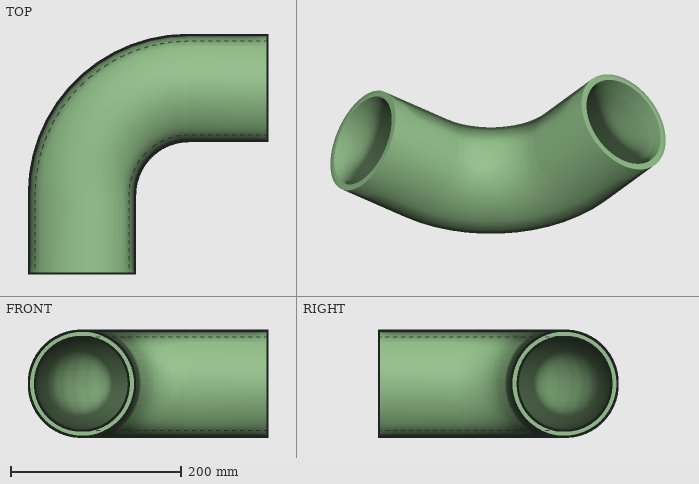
import cadquery as cq
import math

outer_diameter = 125.0
wall_thickness = 7.4
bend_radius = outer_diameter
spigot_length = 93.0

outer_radius = outer_diameter / 2
inner_radius = outer_radius - wall_thickness


def centreline():
    """Path from the -Y end, round the quarter bend, to the +X end."""
    bend_middle = bend_radius * math.sqrt(0.5)
    return (
        cq.Workplane("XY")
        .moveTo(-bend_radius, -spigot_length)
        .lineTo(-bend_radius, 0)
        .threePointArc((-bend_middle, bend_middle), (0, bend_radius))
        .lineTo(spigot_length, bend_radius)
    )


def pipe_section():
    """Annular pipe section at the -Y end of the centreline."""
    return (
        cq.Workplane("XZ", origin=(-bend_radius, -spigot_length, 0))
        .circle(outer_radius)
        .circle(inner_radius)
    )


result = pipe_section().sweep(centreline())